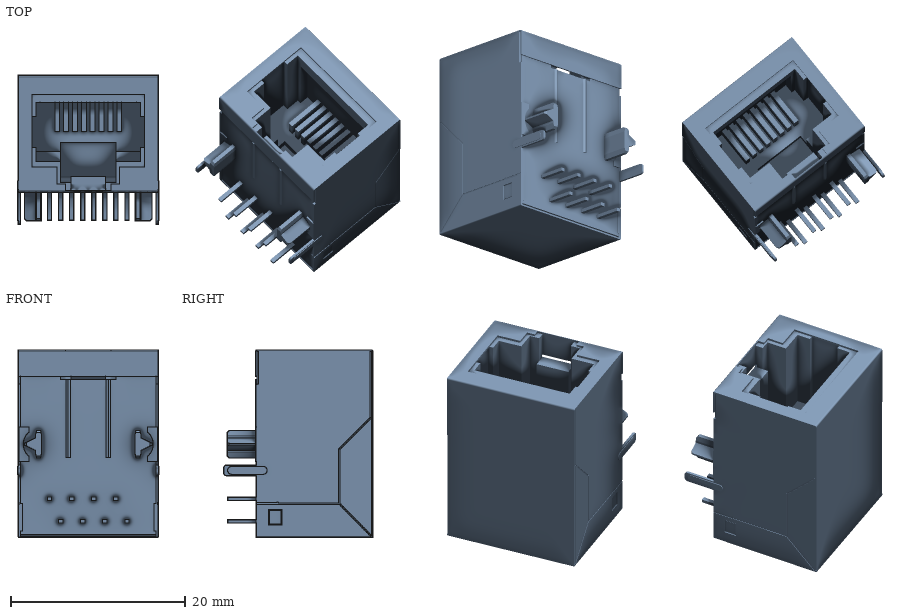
import cadquery as cq
import math


half_width = 8.04
height = 21.54
back_y = 13.40
proud = 0.08
sheet = 0.28
bend_radius = 0.2
bottom_edge_radius = 0.1

insert_depth = 0.07
insert_bottom_z = 0.16
gap_to_plate = 0.2
gap_to_plate_depth = 0.3
flap_inner_x = 7.57
flap_bottom_z = 0.73
flap_top_z = 3.92
hood_bottom_z = 18.5
hood_notch_height = 0.34
hood_notch_depth = 0.3
hood_slit_bottom_z = 17.6
hood_slit_front_y = 0.08
hood_slit_back_y = 0.27

plate_thickness = 0.25
window_half = 6.44
window_top_y = 11.17
window_bottom_y = 2.82
window_neck_half = 3.59
window_neck_y = 0.89
window_foot_half = 2.62
window_foot_y = 0.12
cavity_depth = 12.0
cavity_half = 5.99
cavity_bottom_y = 3.46
cavity_top_y = 10.27
guide_half = 6.65
guide_bottom_y = 5.05
guide_top_y = 8.63
latch_half = 3.16
latch_bottom_y = 1.06
latch_top_y = 5.67
latch_extra_depth = 1.0
latch_fillet = 0.62
slot_half = 1.99
slot_back_y = 1.77
ledge_top_y = 4.6
ledge_height = 2.0
undercut_half = 5.54
undercut_depth = 1.1
undercut_offset = 2.13

contact_count = 8
contact_pitch = 1.016
contact_width = 0.56
contact_front_y = 6.92
contact_height = 2.0

pin_pitch = 2.54
pins_per_row = 4
pin_width = 0.5
pin_thickness = 0.38
pin_tip_y = -3.28
pin_rows = ((4.43, -pin_pitch / 4), (1.85, pin_pitch / 4))

peg_z = 10.71
peg_flat_x = 5.36
peg_back_x = 6.08
peg_apex_x = 7.34
peg_top_inner_x = 5.47
peg_top_outer_x = 5.92
peg_half = 1.59
peg_straight_half = 1.0
peg_shoulder_half = 0.97
peg_neck_half = 0.71
peg_apex_half = 0.1
peg_tip_y = -3.35
peg_chamfer = 0.25

rib_x = 2.3
rib_width = 0.5
rib_bulge = 0.02
rib_bottom_z = 9.18
pad_outer_x = 7.93
pad_inner_x = 6.83
pad_waist_x = 7.46
pad_half = 1.98
pad_straight_half = 1.37

leg_z = 7.70
leg_half = 0.62
leg_tip_y = -3.74
leg_corner = 0.35
leg_root_y = 1.5
bead_half = 0.45
bead_top_y = 1.26
bead_tip_y = -3.28
bead_height = 0.075

seam_width = 0.15
seam_depth = 0.06
seam_back_y = back_y - 0.24
seam_fold_z = 13.75
fold_rebate_width = 0.18
seam_corner_y = 9.55
seam_corner_z = 10.15
seam_low_z = 3.88
seam_end_z = 0.22
relief_y = 2.45
relief_radius = 0.13
gap_width = 0.22
catch_y = (1.42, 2.95)
catch_z = (1.42, 3.19)
catch_depth = 0.15
catch_border = 0.1

plastic_top_z = height - plate_thickness
floor_z = height - cavity_depth
notch_bottom_z = hood_bottom_z - hood_notch_height
sides = (-1, 1)


def block(x0, x1, y0, y1, z0, z1):
    size = (abs(x1 - x0), abs(y1 - y0), abs(z1 - z0))
    center = ((x0 + x1) / 2, (y0 + y1) / 2, (z0 + z1) / 2)
    return cq.Workplane("XY").box(*size).translate(center)


def centred_block(half_x, y0, y1, z0, z1):
    return block(-half_x, half_x, y0, y1, z0, z1)


def make_body():
    body = centred_block(half_width, -proud, back_y, 0, height)
    body = body.edges("|X and >Z").fillet(bend_radius)
    body = body.edges("|Y and <Z").fillet(bottom_edge_radius)
    return body.cut(centred_block(half_width, -proud, 0, 0, hood_bottom_z))


def cut_insert_face(body):
    inner_x = half_width - sheet
    recess = centred_block(inner_x, 0, insert_depth, insert_bottom_z + gap_to_plate, hood_bottom_z)
    plate_gap = centred_block(inner_x, 0, gap_to_plate_depth,
                              insert_bottom_z, insert_bottom_z + gap_to_plate)
    for side in sides:
        flap = block(side * flap_inner_x, side * inner_x, 0, insert_depth, flap_bottom_z, flap_top_z)
        recess = recess.cut(flap)
    notch = centred_block(latch_half, 0, hood_notch_depth, notch_bottom_z, hood_bottom_z)
    return body.cut(recess).cut(plate_gap).cut(notch)


def cut_hood_slits(body):
    for side in sides:
        inner_x = side * (half_width - sheet)
        outer_x = side * half_width
        slit = block(inner_x, outer_x, hood_slit_front_y, hood_slit_back_y,
                     hood_slit_bottom_z, height - bend_radius)
        wall_end = block(inner_x, outer_x, 0, hood_slit_back_y, hood_slit_bottom_z, hood_bottom_z)
        body = body.cut(slit).cut(wall_end)
    return body


def make_window():
    window = centred_block(window_half, window_bottom_y, window_top_y, plastic_top_z, height)
    neck = centred_block(window_neck_half, window_neck_y, window_bottom_y, plastic_top_z, height)
    foot = centred_block(window_foot_half, window_foot_y, window_neck_y, plastic_top_z, height)
    return window.union(neck).union(foot)


def make_cavity():
    undercut_y = cavity_top_y + undercut_depth
    main = centred_block(cavity_half, cavity_bottom_y, cavity_top_y, floor_z, plastic_top_z)
    guides = centred_block(guide_half, guide_bottom_y, guide_top_y, floor_z, plastic_top_z)
    undercut = centred_block(undercut_half, cavity_top_y, undercut_y,
                             floor_z, plastic_top_z - undercut_offset)
    ledge = centred_block(cavity_half, cavity_bottom_y, ledge_top_y, floor_z, floor_z + ledge_height)
    latch = centred_block(latch_half, latch_bottom_y, latch_top_y,
                          floor_z - latch_extra_depth, plastic_top_z)
    latch = latch.edges("|X and <Z and <Y").fillet(latch_fillet)
    stop = centred_block(slot_half, latch_bottom_y, slot_back_y,
                         floor_z - latch_extra_depth, notch_bottom_z)
    slot = centred_block(slot_half, window_foot_y, latch_bottom_y, notch_bottom_z, plastic_top_z)
    return main.union(guides).cut(ledge).union(undercut).union(latch).cut(stop).union(slot)


def add_contacts(body):
    end_y = cavity_top_y + undercut_depth
    for index in range(contact_count):
        x = (index - (contact_count - 1) / 2) * contact_pitch
        contact = block(x - contact_width / 2, x + contact_width / 2, contact_front_y, end_y,
                        floor_z, floor_z + contact_height)
        body = body.union(contact)
    return body


def add_pins(body):
    for z, row_x in pin_rows:
        for index in range(pins_per_row):
            x = row_x + (index - (pins_per_row - 1) / 2) * pin_pitch
            pin = block(x - pin_width / 2, x + pin_width / 2, pin_tip_y, insert_depth,
                        z - pin_thickness / 2, z + pin_thickness / 2)
            body = body.union(pin)
    return body


def make_peg():
    """Right-hand peg: a tapered fin pointing outwards, with a bevelled tip."""
    upper = [
        (peg_apex_x, peg_apex_half),
        (peg_back_x, peg_neck_half),
        (peg_back_x, peg_shoulder_half),
        (peg_top_outer_x, peg_half),
        (peg_top_inner_x, peg_half),
        (peg_flat_x, peg_straight_half),
    ]
    lower = [(x, -z) for x, z in reversed(upper)]
    outline = cq.Workplane("XZ", origin=(0, insert_depth, peg_z)).polyline(upper + lower).close()
    peg = outline.extrude(insert_depth - peg_tip_y)
    envelope = block(peg_flat_x, peg_apex_x, peg_tip_y, insert_depth, peg_z - peg_half, peg_z + peg_half)
    envelope = envelope.faces("<Y").edges("|X or >X").chamfer(peg_chamfer)
    return peg.intersect(envelope)


def make_pad():
    """Right-hand pad: a bent shield tab hollowed out around the peg."""
    outline = (
        cq.Workplane("XZ", origin=(0, insert_depth, peg_z))
        .moveTo(pad_outer_x, -pad_half)
        .lineTo(pad_inner_x, -pad_half)
        .lineTo(pad_inner_x, -pad_straight_half)
        .threePointArc((pad_waist_x, 0), (pad_inner_x, pad_straight_half))
        .lineTo(pad_inner_x, pad_half)
        .lineTo(pad_outer_x, pad_half)
        .close()
    )
    return outline.extrude(insert_depth + proud)


def make_rib():
    """Right-hand rib: a bar along Z with two curved flanks and a crest, on the insert face."""
    flank_y = (insert_depth - proud) / 2 - rib_bulge
    return (
        cq.Workplane("XY", origin=(rib_x, 0, rib_bottom_z))
        .moveTo(-rib_width / 2, insert_depth)
        .threePointArc((-rib_width / 4, flank_y), (0, -proud))
        .threePointArc((rib_width / 4, flank_y), (rib_width / 2, insert_depth))
        .close()
        .extrude(notch_bottom_z - rib_bottom_z)
    )


def make_leg():
    """Right-hand shield leg with a raised, round-ended stiffening bead."""
    leg = block(half_width - sheet, half_width, leg_tip_y, leg_root_y, leg_z - leg_half, leg_z + leg_half)
    leg = leg.edges("|X and <Y").fillet(leg_corner)
    bead_length = bead_top_y - bead_tip_y
    bead = (
        cq.Workplane("YZ", origin=(half_width - sheet, (bead_top_y + bead_tip_y) / 2, leg_z))
        .slot2D(bead_length, 2 * bead_half)
        .extrude(sheet + bead_height)
    )
    return leg.union(bead)


def make_groove(start, end, width):
    """Straight groove in the right-hand wall between two (Y, Z) points."""
    run = end[0] - start[0]
    rise = end[1] - start[1]
    middle = ((start[0] + end[0]) / 2, (start[1] + end[1]) / 2)
    return (
        cq.Workplane("YZ", origin=(half_width - seam_depth, 0, 0))
        .center(*middle)
        .transformed(rotate=(0, 0, math.degrees(math.atan2(rise, run))))
        .rect(math.hypot(run, rise), width)
        .extrude(seam_depth)
    )


def make_seams():
    path = [
        (seam_back_y, height - bend_radius),
        (seam_back_y, seam_fold_z),
        (seam_corner_y, seam_corner_z),
        (seam_corner_y, seam_low_z),
        (seam_back_y, seam_end_z),
    ]
    seams = make_groove((seam_corner_y, seam_low_z), (relief_y, seam_low_z), seam_width)
    for start, end in zip(path, path[1:]):
        seams = seams.union(make_groove(start, end, seam_width))
    gap = make_groove((relief_y, seam_low_z), (0, seam_low_z), gap_width)
    relief = (
        cq.Workplane("YZ", origin=(half_width - seam_depth, relief_y, seam_low_z + relief_radius / 2))
        .circle(relief_radius)
        .extrude(seam_depth)
    )
    rebate_y = back_y - fold_rebate_width / 2
    rebate = make_groove((rebate_y, seam_fold_z), (rebate_y, seam_end_z), fold_rebate_width)
    return seams.union(rebate).union(gap).union(relief)


def make_catch_window():
    """Right-hand catch: a rectangular window with a tongue left standing in it."""
    window = block(half_width - catch_depth, half_width, *catch_y, *catch_z)
    tongue = block(half_width - catch_depth, half_width - catch_depth / 2,
                   catch_y[0] + catch_border, catch_y[1] - catch_border,
                   catch_z[0] + catch_border, catch_z[1] - catch_border)
    return window.cut(tongue)


def both_sides(feature):
    return (feature, feature.mirror("YZ"))


result = make_body()
result = cut_hood_slits(cut_insert_face(result))
result = result.cut(make_window()).cut(make_cavity())
result = add_pins(add_contacts(result))
for added in (make_peg(), make_pad(), make_rib(), make_leg()):
    for feature in both_sides(added):
        result = result.union(feature)
for removed in (make_seams(), make_catch_window()):
    for feature in both_sides(removed):
        result = result.cut(feature)